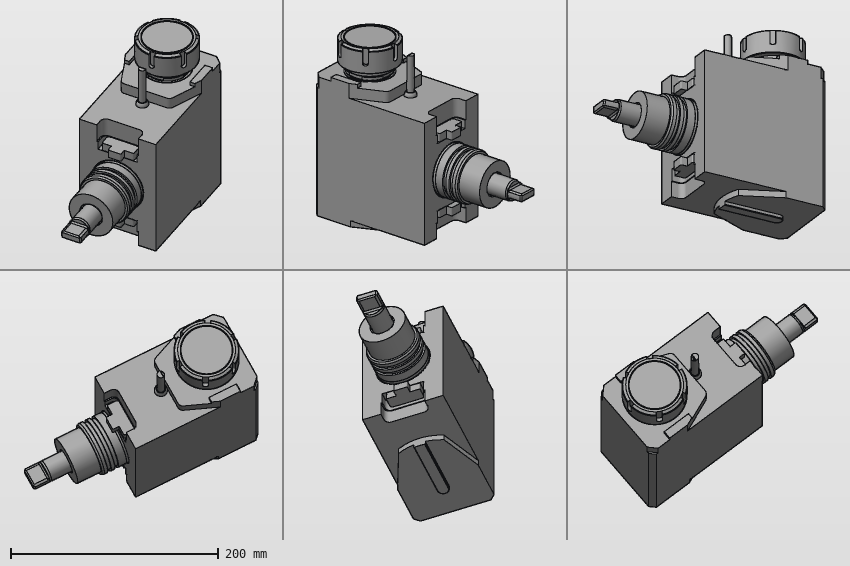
import cadquery as cq
import math


body_width = 84.0
body_half_width = body_width / 2
body_depth = 136.7
body_half_height = 65.0
body_corner = 5.3

spindle_y = 99.7
top_plate_z = 77.0
top_plate_corner = 7.6
top_plate_front_y = 56.0
top_plate_shoulder_y = 92.5
top_plate_front_half = 27.0
top_plate_fillet = 5.5
tab_top_z = 80.8
tab_width = 8.5
tab_length = 30.0
seat_diameter = 50.0
seat_depth = 0.7

bottom_plate_z = -71.8
bottom_plate_radius = 57.0
bottom_plate_front_half = 23.5
bottom_plate_shoulder_y = 90.5
bottom_key_z = -75.7
bottom_key_half_width = 6.0
bottom_key_back_y = 110.0
bottom_key_chamfer = 0.7

neck_radius = 23.5
neck_flat = 22.2
neck_foot_z = 77.4
neck_top_z = 80.5
collar_bottom_z = 81.5
neck_flare_radius = 24.5
collar_radius = 24.7
collar_chamfer = 1.0

nut_diameter = 63.0
nut_radius = nut_diameter / 2
nut_bottom_z = 88.0
nut_top_z = 113.4
nut_edge = 0.7
nut_bevel_height = 2.0
nut_face_radius = 28.0
nut_ring_outer = 50.8
nut_ring_inner = 49.5
nut_ring_depth = 0.7
nut_slot_count = 6
nut_slot_width = 5.8
nut_slot_end_z = 96.5

nozzle_y = 49.9
nozzle_diameter = 7.5
nozzle_top_z = 108.5
nozzle_bevel = 2.8
nozzle_hole_diameter = 4.0
nozzle_hole_depth = 3.5
dome_diameter = 12.7
dome_top_z = 69.5

pocket_half_width = 22.9
pocket_depth = 13.2
pocket_radius = 5.8
key_seat_half_width = 21.5
key_seat_depth = 12.5
key_seat_radius = 5.0
key_inner_z = 36.0
key_outer_z = 44.8
upper_pocket_floor_z = 45.0
lower_seat_outer_z = 49.0
key_half_width = 17.5
key_front_y = 0.5
key_back_radius = 2.8
key_edge_radius = 1.2
tongue_half_width = 7.2
tongue_length = 6.5

spigot_recess_diameter = 56.5
spigot_recess_depth = 1.2
relief_radius = 27.2
relief_length = 2.0
spigot_radius = 27.5
groove_radius = 25.5
first_groove_y = 10.9
groove_width = 4.0
groove_pitch = 7.9
spigot_length = 28.5
spigot_chamfer_length = 2.0
spigot_chamfer_depth = 1.2
sleeve_radius = 24.0
sleeve_end = 53.5
sleeve_bore_diameter = 25.0
sleeve_bore_depth = 2.3
shaft_diameter = 22.0
shaft_radius = shaft_diameter / 2
shaft_shoulder = 77.1
shaft_chamfer_length = 2.0
shaft_chamfer_depth = 1.0
overall_length = 231
tang_end = overall_length - body_depth
tang_thickness = 8.5
tang_half_thickness = tang_thickness / 2
tang_root = 1.6
tang_bevel = 1.5
tang_flat_half_width = 8.0


def cylinder(x, y, z_low, z_high, diameter):
    """Vertical cylinder between two heights."""
    return cq.Workplane("XY", origin=(x, y, z_low)).circle(diameter / 2).extrude(z_high - z_low)


def box(x_range, y_range, z_range):
    """Box between pairs of limits."""
    size = [high - low for low, high in (x_range, y_range, z_range)]
    return cq.Workplane("XY", origin=(x_range[0], y_range[0], z_range[0])).box(*size, centered=False)


def front_cylinder(y_front, y_back, diameter):
    """Cylinder on the shaft axis between two Y positions."""
    return cq.Workplane("XZ", origin=(0, y_back, 0)).circle(diameter / 2).extrude(y_back - y_front)


def mirrored_outline(right_side, z_low, z_high):
    """Prism whose outline is a right-hand point list plus its mirror image across X = 0."""
    left_side = [(-x, y) for x, y in reversed(right_side)]
    outline = cq.Workplane("XY", origin=(0, 0, z_low)).polyline(right_side + left_side).close()
    return outline.extrude(z_high - z_low)


def make_housing():
    housing = box((-body_half_width, body_half_width), (0, body_depth), (-body_half_height, body_half_height))
    return housing.edges("|Z and >Y").chamfer(body_corner)


def make_top_plate():
    outline = [
        (top_plate_front_half, top_plate_front_y),
        (body_half_width, top_plate_shoulder_y),
        (body_half_width, body_depth - top_plate_corner),
        (body_half_width - top_plate_corner, body_depth),
    ]
    blank = mirrored_outline(outline, body_half_height, tab_top_z)
    blank = blank.edges("|Z and <Y").fillet(top_plate_fillet)
    plate_x = (-body_half_width, body_half_width)
    plate = blank.intersect(box(plate_x, (0, body_depth), (body_half_height, top_plate_z)))
    tab_y = (spindle_y - tab_length / 2, spindle_y + tab_length / 2)
    tab_inner_x = body_half_width - tab_width
    for x_range in ((-body_half_width, -tab_inner_x), (tab_inner_x, body_half_width)):
        plate = plate.union(blank.intersect(box(x_range, tab_y, (body_half_height, tab_top_z))))
    return plate.cut(cylinder(0, spindle_y, top_plate_z - seat_depth, top_plate_z, seat_diameter))


def make_bottom_plate():
    """Bottom plate and its key, both ending on the same arc about the spindle axis."""
    arc_end_y = spindle_y - math.sqrt(bottom_plate_radius**2 - bottom_plate_front_half**2)
    plate = (
        cq.Workplane("XY", origin=(0, 0, bottom_plate_z))
        .moveTo(bottom_plate_front_half, arc_end_y)
        .lineTo(body_half_width, bottom_plate_shoulder_y)
        .lineTo(body_half_width, body_depth - body_corner)
        .lineTo(body_half_width - body_corner, body_depth)
        .lineTo(body_corner - body_half_width, body_depth)
        .lineTo(-body_half_width, body_depth - body_corner)
        .lineTo(-body_half_width, bottom_plate_shoulder_y)
        .lineTo(-bottom_plate_front_half, arc_end_y)
        .threePointArc((0, spindle_y - bottom_plate_radius), (bottom_plate_front_half, arc_end_y))
        .close()
        .extrude(-body_half_height - bottom_plate_z)
    )
    key_front_y = spindle_y - bottom_plate_radius
    key_arc_y = bottom_key_back_y - bottom_key_half_width
    key_side_y = spindle_y - math.sqrt(bottom_plate_radius**2 - bottom_key_half_width**2)
    key = (
        cq.Workplane("XY", origin=(0, 0, bottom_key_z))
        .moveTo(bottom_key_half_width, key_side_y)
        .lineTo(bottom_key_half_width, key_arc_y)
        .threePointArc((0, bottom_key_back_y), (-bottom_key_half_width, key_arc_y))
        .lineTo(-bottom_key_half_width, key_side_y)
        .threePointArc((0, key_front_y), (bottom_key_half_width, key_side_y))
        .close()
        .extrude(bottom_plate_z - bottom_key_z)
        .faces("<Z")
        .edges("not <Y")
        .chamfer(bottom_key_chamfer)
    )
    return plate.union(key)


def make_spindle():
    """Neck with four wrench flats, collar and slotted clamping nut."""
    foot_z = top_plate_z - seat_depth
    profile = [
        (0, foot_z),
        (neck_flat, foot_z),
        (neck_flat, neck_foot_z),
        (neck_radius, neck_foot_z),
        (neck_radius, neck_top_z),
        (neck_flare_radius, collar_bottom_z),
        (0, collar_bottom_z),
    ]
    neck = cq.Workplane("XZ").polyline(profile).close().revolve(360, (0, 0), (0, 1))
    neck = neck.intersect(cq.Workplane("XY").box(2 * neck_flat, 2 * neck_flat, 2 * nut_top_z))

    bevel_z = nut_top_z - nut_bevel_height
    profile = [
        (0, collar_bottom_z),
        (collar_radius - collar_chamfer, collar_bottom_z),
        (collar_radius, collar_bottom_z + collar_chamfer),
        (collar_radius, nut_bottom_z),
        (nut_radius - nut_edge, nut_bottom_z),
        (nut_radius, nut_bottom_z + nut_edge),
        (nut_radius, bevel_z),
        (nut_radius - nut_edge, bevel_z + nut_edge),
        (nut_face_radius, nut_top_z),
        (0, nut_top_z),
    ]
    nut = cq.Workplane("XZ").polyline(profile).close().revolve(360, (0, 0), (0, 1))
    ring = (
        cq.Workplane("XY", origin=(0, 0, nut_top_z))
        .circle(nut_ring_outer / 2)
        .circle(nut_ring_inner / 2)
        .extrude(-nut_ring_depth)
    )
    nut = nut.cut(ring)

    slot_half = nut_slot_width / 2
    slot_arc_z = nut_slot_end_z + slot_half
    slot = (
        cq.Workplane("XZ", origin=(0, -nut_face_radius, 0))
        .moveTo(-slot_half, nut_top_z)
        .lineTo(-slot_half, slot_arc_z)
        .threePointArc((0, nut_slot_end_z), (slot_half, slot_arc_z))
        .lineTo(slot_half, nut_top_z)
        .close()
        .extrude(nut_radius)
    )
    for index in range(nut_slot_count):
        nut = nut.cut(slot.rotate((0, 0, 0), (0, 0, 1), index * 360 / nut_slot_count))
    return neck.union(nut).translate((0, spindle_y, 0))


def make_nozzle():
    """Coolant pipe on a domed foot, with an outlet square to the bevel that faces the nut."""
    pipe = cylinder(0, nozzle_y, body_half_height, nozzle_top_z, nozzle_diameter)
    back_y = nozzle_y + nozzle_diameter / 2
    bevel = (
        cq.Workplane("YZ")
        .polyline(
            [
                (back_y - nozzle_bevel, nozzle_top_z),
                (back_y, nozzle_top_z),
                (back_y, nozzle_top_z - nozzle_bevel),
            ]
        )
        .close()
        .extrude(nozzle_diameter, both=True)
    )
    outlet_center = cq.Vector(0, back_y - nozzle_bevel / 2, nozzle_top_z - nozzle_bevel / 2)
    outlet = cq.Workplane(
        cq.Solid.makeCylinder(nozzle_hole_diameter / 2, nozzle_hole_depth, outlet_center, cq.Vector(0, -1, -1))
    )
    dome = cq.Workplane("XY", origin=(0, nozzle_y, body_half_height)).sphere(dome_diameter / 2)
    dome = dome.intersect(cylinder(0, nozzle_y, body_half_height, dome_top_z, dome_diameter))
    return pipe.cut(bevel).cut(outlet).union(dome)


def pocket_tool(half_width, depth, radius, z_low, z_high):
    """Cutter open to the front face, with rounded back corners."""
    tool = box((-half_width, half_width), (0, depth), (z_low, z_high))
    return tool.edges("|Z and >Y").fillet(radius)


def cut_pockets(housing):
    """Stepped pockets above and below the spigot."""
    steps = ((upper_pocket_floor_z, body_half_height), (-body_half_height, -lower_seat_outer_z))
    for z_low, z_high in steps:
        housing = housing.cut(pocket_tool(pocket_half_width, pocket_depth, pocket_radius, z_low, z_high))
    seats = ((key_inner_z, upper_pocket_floor_z), (-lower_seat_outer_z, -key_inner_z))
    for z_low, z_high in seats:
        housing = housing.cut(pocket_tool(key_seat_half_width, key_seat_depth, key_seat_radius, z_low, z_high))
    return housing


def make_key(z_low):
    """T-shaped key whose tongue stands out of the front face."""
    z_range = (z_low, z_low + key_outer_z - key_inner_z)
    key = box((-key_half_width, key_half_width), (key_front_y, key_seat_depth), z_range)
    key = key.edges("|Z and >Y").fillet(key_back_radius)
    key = key.edges("|Z and <Y").fillet(key_edge_radius)
    tongue = box((-tongue_half_width, tongue_half_width), (-tongue_length, key_seat_depth), z_range)
    return key.union(tongue.edges("|Z and <Y").fillet(key_edge_radius))


def make_spigot():
    """Grooved spigot and plain sleeve; profile points are (radius, Y)."""
    profile = [
        (0, spigot_recess_depth),
        (relief_radius, spigot_recess_depth),
        (relief_radius, -relief_length),
        (spigot_radius, -relief_length),
    ]
    for start in (first_groove_y, first_groove_y + groove_pitch):
        end = start + groove_width
        profile += [(spigot_radius, -start), (groove_radius, -start)]
        profile += [(groove_radius, -end), (spigot_radius, -end)]
    profile += [
        (spigot_radius, spigot_chamfer_length - spigot_length),
        (spigot_radius - spigot_chamfer_depth, -spigot_length),
        (sleeve_radius, -spigot_length),
        (sleeve_radius, -sleeve_end),
        (0, -sleeve_end),
    ]
    spigot = cq.Workplane("XY").polyline(profile).close().revolve(360, (0, 0), (0, 1))
    return spigot.cut(front_cylinder(-sleeve_end, sleeve_bore_depth - sleeve_end, sleeve_bore_diameter))


def make_shaft():
    """Round shaft ending in a flat, bevelled tang."""
    shaft = front_cylinder(-shaft_shoulder, sleeve_bore_depth - sleeve_end, shaft_diameter)
    tip = front_cylinder(-tang_end, -shaft_shoulder, shaft_diameter).faces("<Y").chamfer(tang_bevel)
    profile = [
        (-shaft_shoulder, tang_half_thickness),
        (tang_bevel - tang_end, tang_half_thickness),
        (-tang_end, tang_half_thickness - tang_bevel),
        (-tang_end, tang_bevel - tang_half_thickness),
        (tang_bevel - tang_end, -tang_half_thickness),
        (-shaft_shoulder, -tang_half_thickness),
    ]
    tang = cq.Workplane("YZ").polyline(profile).close().extrude(shaft_radius, both=True)
    side_z = tang_half_thickness - tang_bevel
    corner = [(tang_flat_half_width, tang_half_thickness), (shaft_radius, side_z)]
    right = corner + [(x, -z) for x, z in reversed(corner)]
    section = right + [(-x, -z) for x, z in right]
    tang = tang.intersect(cq.Workplane("XZ").polyline(section).close().extrude(tang_end))

    root_z = tang_half_thickness + tang_root
    root_y = -shaft_shoulder - tang_root
    root_profile = [
        (-shaft_shoulder, root_z),
        (root_y, tang_half_thickness),
        (root_y, -tang_half_thickness),
        (-shaft_shoulder, -root_z),
    ]
    root = cq.Workplane("YZ").polyline(root_profile).close().extrude(shaft_radius, both=True)

    shoulder = shaft.faces("<Y").chamfer(shaft_chamfer_length, shaft_chamfer_depth)
    return shoulder.union(tang.union(root).intersect(tip))


housing = cut_pockets(make_housing())
housing = housing.cut(front_cylinder(0, spigot_recess_depth, spigot_recess_diameter))

result = housing.union(make_top_plate()).union(make_bottom_plate()).union(make_spindle()).union(make_nozzle())
result = result.union(make_key(key_inner_z)).union(make_key(-key_outer_z))
result = result.union(make_spigot()).union(make_shaft())